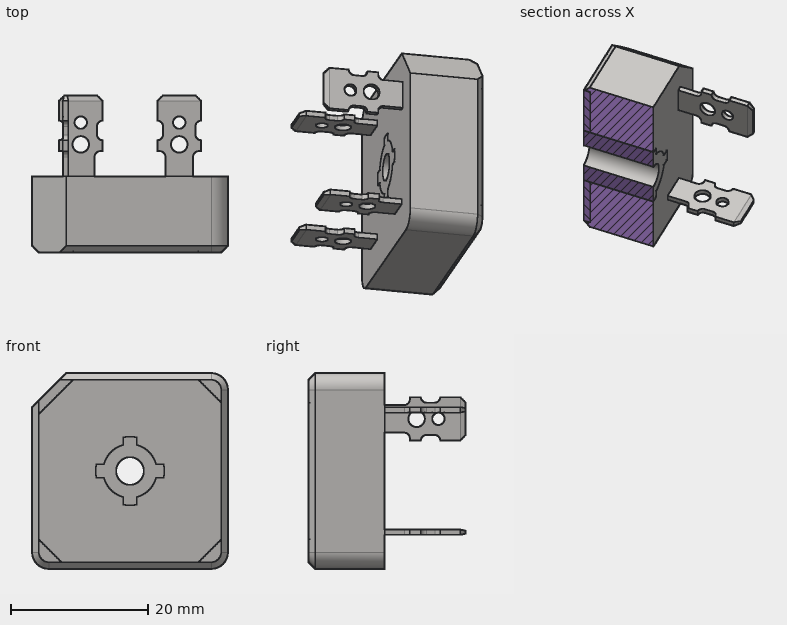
import cadquery as cq


side = 28.55
depth = 11.1
front_bevel = 1.0
corner_radius = 2.48
corner_cut = 5.0

plate_side = side - 2 * front_bevel
plate_thickness = front_bevel
plate_corner_cut = 3.3
plate_marked_cut = 5.0

bore_diameter = 4.0
bushing_diameter = 7.82
key_span = 10.0
key_width = 1.97

overall_depth = 22.9
terminal_length = overall_depth - depth
blade_width = 6.35
blade_thickness = 0.8
waist_width = 4.75
neck_width = 4.05
fillet_radius = 0.8
tip_taper = 0.8
tip_thickness = 0.45
notch_start = 3.7
notch_end = 6.5
shoulder = 8.15
small_hole_diameter = 1.77
small_hole_distance = 3.97
large_hole_diameter = 2.37
large_hole_distance = 7.15

flat_x = 7.17
flat_z = 8.9
upright_x = -9.36
upright_z = 7.6


def y_prism(outline, length):
    """Extrude an outline on the XZ plane from Y = 0 towards +Y."""
    return outline.extrude(-length)


def square_with_cut_corners(width, marked_cut, other_cut):
    """Square on the XZ plane with 45 degree corners; other_cut = 0 leaves those corners sharp."""
    half = width / 2
    points = [(-half, half - marked_cut), (-half + marked_cut, half)]
    for sign_x, sign_z in [(1, 1), (1, -1), (-1, -1)]:
        corner = (sign_x * half, sign_z * half)
        beside = (sign_x * (half - other_cut), sign_z * half)
        below = (sign_x * half, sign_z * (half - other_cut))
        if other_cut == 0:
            points.append(corner)
        elif sign_x * sign_z > 0:
            points += [beside, below]
        else:
            points += [below, beside]
    return cq.Workplane("XZ").polyline(points).close()


def make_plate_blank():
    outline = square_with_cut_corners(plate_side, plate_marked_cut, plate_corner_cut)
    return y_prism(outline, plate_thickness)


def make_bushing_blank():
    """Round core with four keys, without the bore."""
    core = y_prism(cq.Workplane("XZ").circle(bushing_diameter / 2), depth)
    keys = y_prism(cq.Workplane("XZ").rect(key_span, key_width), depth)
    keys = keys.union(y_prism(cq.Workplane("XZ").rect(key_width, key_span), depth))
    key_tips = y_prism(cq.Workplane("XZ").circle(key_span / 2), depth)
    return core.union(keys.intersect(key_tips))


def make_housing():
    """Cup around the base plate and the bushing."""
    block = y_prism(cq.Workplane("XZ").rect(side, side), depth)
    for corner in (">X and >Z", ">X and <Z", "<X and <Z"):
        block = block.edges("|Y").edges(corner).fillet(corner_radius)
    block = block.faces("<Y").chamfer(front_bevel)
    block = block.intersect(y_prism(square_with_cut_corners(side, corner_cut, 0), depth))
    return block.cut(make_plate_blank()).cut(make_bushing_blank())


def make_base_plate():
    return make_plate_blank().cut(make_bushing_blank())


def make_bushing():
    bore = y_prism(cq.Workplane("XZ").circle(bore_diameter / 2), depth)
    return make_bushing_blank().cut(bore)


def make_terminal():
    """Flat terminal with its root at the origin, its width along X and its tip towards +Y."""
    tip = terminal_length
    half_blade = blade_width / 2
    half_waist = waist_width / 2
    half_neck = neck_width / 2
    half_outline = (
        cq.Workplane("XY")
        .lineTo(half_neck, 0)
        .lineTo(half_neck, tip - shoulder - fillet_radius)
        .radiusArc((half_neck + fillet_radius, tip - shoulder), fillet_radius)
        .lineTo(half_blade, tip - shoulder)
        .lineTo(half_blade, tip - notch_end)
        .radiusArc((half_waist, tip - notch_end + fillet_radius), fillet_radius)
        .lineTo(half_waist, tip - notch_start - fillet_radius)
        .radiusArc((half_blade, tip - notch_start), fillet_radius)
        .lineTo(half_blade, tip - tip_taper)
        .lineTo(half_blade - tip_taper, tip)
        .lineTo(0, tip)
    )
    blade = half_outline.mirrorY().extrude(blade_thickness / 2, both=True)

    half_thickness = blade_thickness / 2
    side_profile = [
        (0, -half_thickness),
        (tip - tip_taper, -half_thickness),
        (tip, -tip_thickness / 2),
        (tip, tip_thickness / 2),
        (tip - tip_taper, half_thickness),
        (0, half_thickness),
    ]
    tapered = cq.Workplane("YZ").polyline(side_profile).close().extrude(half_blade, both=True)
    blade = blade.intersect(tapered)

    for diameter, distance in [
        (small_hole_diameter, small_hole_distance),
        (large_hole_diameter, large_hole_distance),
    ]:
        hole = cq.Workplane("XY").center(0, tip - distance).circle(diameter / 2)
        blade = blade.cut(hole.extrude(blade_thickness, both=True))
    return blade


def make_terminals():
    """Three flat terminals and one upright terminal, standing on the back of the housing."""
    flat_places = [(-flat_x, -flat_z), (flat_x, -flat_z), (flat_x, flat_z)]
    terminals = []
    for x, z in flat_places:
        terminals.append(make_terminal().translate((x, depth, z)))
    upright = make_terminal().rotate((0, 0, 0), (0, 1, 0), 90)
    terminals.append(upright.translate((upright_x, depth, upright_z)))
    return terminals


housing = make_housing()
base_plate = make_base_plate()
bushing = make_bushing()
terminals = make_terminals()

result = cq.Compound.makeCompound(
    [housing.val(), base_plate.val(), bushing.val(), *[terminal.val() for terminal in terminals]]
)